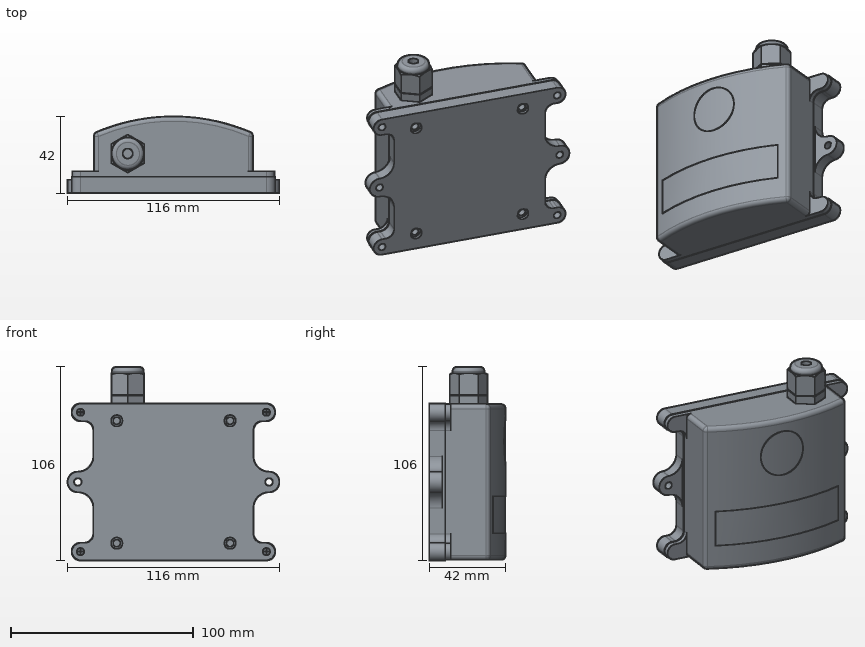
import cadquery as cq
import math

plate_height = 86.0
waist_width = 87.8
lug_radius = 4.9
lug_x = 50.85
lug_z = plate_height / 2 - lug_radius
lug_fillet = 5.0

base_depth = 8.8
tab_depth = 7.3
tab_radius = 5.7
total_width = 116.0
tab_x = total_width / 2 - tab_radius
tab_fillet = 8.3
mount_hole_diameter = 4.0
fixing_x = 31.0
fixing_z = 33.5
fixing_hole_diameter = 4.0
fixing_recess_diameter = 6.3
fixing_recess_depth = 2.2

cover_inset = 0.35
total_depth = 42.0
shoulder_y = 32.8
cover_lug_depth = 3.2
cover_round = 2.5
cover_half_width = waist_width / 2 - cover_inset
cover_half_height = plate_height / 2 - cover_inset
cross_width = 0.4
cross_depth = 1.0

recess_depth = 0.25
label_width = 75.6
label_height = 20.4
label_z = -17.9
window_diameter = 26.0
window_z = 22.3

gland_x = -25.0
gland_y = 21.6
hex_flats = 18.0
hex_corners = hex_flats / math.cos(math.pi / 6)
flange_top = 47.2
neck_diameter = 12.0
nut_bottom = 47.6
nut_hex_top = 59.6
nut_top = 63.0
dome_diameter = 17.6
dome_round = 2.5
cable_hole_diameter = 5.5
chamfer_angle = math.radians(30)


def xz_block(x_size, z_size, y_start, y_end):
    """Block centred on the Y axis, running from y_start to y_end."""
    return cq.Workplane("XZ", origin=(0, y_start, 0)).rect(x_size, z_size).extrude(y_start - y_end)


def rounded_strip(center_x, radius, z, y_start, y_end):
    """Bar along X with half-round ends centred at +/-center_x."""
    length = 2 * (center_x + radius)
    plane = cq.Workplane("XZ", origin=(0, y_start, z))
    return plane.slot2D(length, 2 * radius).extrude(y_start - y_end)


def round_inner_corners(body, x, z, y, radius):
    """Round the four Y-running edges at (+/-x, +/-z) that pass through depth y."""
    reach = 0.1
    for side_x in (-x, x):
        for side_z in (-z, z):
            box = cq.selectors.BoxSelector(
                (side_x - reach, y - reach, side_z - reach),
                (side_x + reach, y + reach, side_z + reach),
            )
            body = body.edges(box).fillet(radius)
    return body


def y_cylinders(points, diameter, y_start, y_end):
    """Cylinders along Y at the given (x, z) points."""
    plane = cq.Workplane("XZ", origin=(0, y_start, 0))
    return plane.pushPoints(points).circle(diameter / 2).extrude(y_start - y_end)


def four_points(x, z):
    return [(side_x, side_z) for side_x in (-x, x) for side_z in (-z, z)]


def make_base():
    base = xz_block(waist_width, plate_height, 0, base_depth)
    for z in (-lug_z, lug_z):
        base = base.union(rounded_strip(lug_x, lug_radius, z, 0, base_depth))
    base = base.union(rounded_strip(tab_x, tab_radius, 0, 0, tab_depth))
    base = round_inner_corners(base, waist_width / 2, lug_z - lug_radius, base_depth / 2, lug_fillet)
    base = round_inner_corners(base, waist_width / 2, tab_radius, tab_depth / 2, tab_fillet)

    mount_points = four_points(lug_x, lug_z) + [(-tab_x, 0), (tab_x, 0)]
    fixing_points = four_points(fixing_x, fixing_z)
    base = base.cut(y_cylinders(mount_points, mount_hole_diameter, 0, base_depth))
    base = base.cut(y_cylinders(fixing_points, fixing_hole_diameter, 0, base_depth))
    return base.cut(y_cylinders(fixing_points, fixing_recess_diameter, 0, fixing_recess_depth))


def arched_block(half_width, y_start, shoulder, crown, z_bottom, z_top):
    """Block along Z whose +Y side is an arc from the shoulder up to the crown."""
    return (
        cq.Workplane("XY", origin=(0, 0, z_bottom))
        .moveTo(-half_width, y_start)
        .lineTo(-half_width, shoulder)
        .threePointArc((0, crown), (half_width, shoulder))
        .lineTo(half_width, y_start)
        .close()
        .extrude(z_top - z_bottom)
    )


def cut_front_recesses(cover):
    """Sink the label and window areas, their floors parallel to the arched front."""
    arch_rise = total_depth - shoulder_y
    arch_radius = (cover_half_width**2 + arch_rise**2) / (2 * arch_rise)
    front_skin = (
        cq.Workplane("XY", origin=(0, total_depth - arch_radius, -cover_half_height))
        .circle(arch_radius + recess_depth)
        .circle(arch_radius - recess_depth)
        .extrude(2 * cover_half_height)
    )
    skin_top = total_depth + recess_depth
    label = xz_block(label_width, label_height, base_depth, skin_top).translate((0, 0, label_z))
    window = y_cylinders([(0, window_z)], window_diameter, base_depth, skin_top)
    for area in (label, window):
        cover = cover.cut(front_skin.intersect(area))
    return cover


def make_cover():
    cover = arched_block(
        cover_half_width, base_depth, shoulder_y, total_depth, -cover_half_height, cover_half_height
    )
    cover = cover.edges("not <Y").fillet(cover_round)

    lug_inner_z = lug_z - lug_radius + cover_inset
    lugs_end = base_depth + cover_lug_depth
    for z in (-lug_z, lug_z):
        cover = cover.union(rounded_strip(lug_x, lug_radius - cover_inset, z, base_depth, lugs_end))
    cover = round_inner_corners(
        cover, cover_half_width, lug_inner_z, base_depth + cover_lug_depth / 2, lug_fillet + cover_inset
    )

    for x, z in four_points(lug_x, lug_z):
        for size in ((mount_hole_diameter, cross_width), (cross_width, mount_hole_diameter)):
            slot = xz_block(*size, base_depth, base_depth + cross_depth).translate((x, 0, z))
            cover = cover.cut(slot)

    return cut_front_recesses(cover)


def gland_plane(z):
    return cq.Workplane("XY", origin=(gland_x, gland_y, z))


def hex_prism(z_bottom, z_top):
    """Hexagon with two corners on the Y axis of the gland."""
    prism = gland_plane(z_bottom).polygon(6, hex_corners).extrude(z_top - z_bottom)
    return prism.rotate((gland_x, gland_y, 0), (gland_x, gland_y, 1), 30)


def make_gland_body():
    neck = gland_plane(flange_top).circle(neck_diameter / 2).extrude(nut_bottom - flange_top)
    return hex_prism(cover_half_height, flange_top).union(neck)


def make_gland_nut():
    height = nut_hex_top - nut_bottom
    chamfer_width = (hex_corners - hex_flats) / 2
    chamfer_drop = chamfer_width * math.tan(chamfer_angle)
    turned = (
        cq.Workplane("XZ")
        .lineTo(hex_corners / 2, 0)
        .lineTo(hex_corners / 2, height - chamfer_drop)
        .lineTo(hex_flats / 2, height)
        .lineTo(0, height)
        .close()
        .revolve(360, (0, 0), (0, 1))
        .translate((gland_x, gland_y, nut_bottom))
    )
    dome = gland_plane(nut_hex_top).circle(dome_diameter / 2).extrude(nut_top - nut_hex_top)
    dome = dome.faces(">Z").edges().fillet(dome_round)
    hole = gland_plane(nut_bottom).circle(cable_hole_diameter / 2).extrude(nut_top - nut_bottom)
    return hex_prism(nut_bottom, nut_hex_top).intersect(turned).union(dome).cut(hole)


base = make_base()
cover = make_cover()
gland_body = make_gland_body()
gland_nut = make_gland_nut()

result = cq.Compound.makeCompound([base.val(), cover.val(), gland_body.val(), gland_nut.val()])